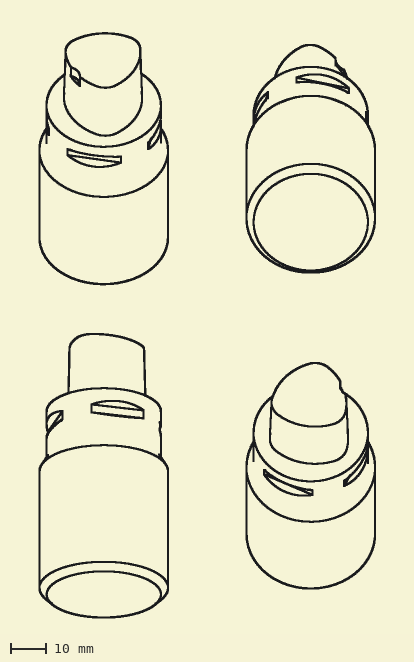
import cadquery as cq
import math

total_height = 75.0
body_radius = 18.0
collar_radius = 16.01
bottom_chamfer = 2.0
shoulder_bottom = 37.65
shoulder_top = 40.9
shoulder_blend = 0.4
collar_top = 55.95

corner_offset = 6.15
corner_radius = 5.6
side_radius = corner_radius + math.sqrt(3) * corner_offset
taper_per_side = 1 / 40

slot_count = 4
slot_first_angle = 45.0
slot_floor = 14.1
slot_floor_height = 2.4
slot_middle = 49.95
slot_wall_angle = 30.0

notch_radius = 3.75
notch_root = 8.8
notch_height = 3.5


def polar(radius, degrees, center=(0, 0)):
    angle = math.radians(degrees)
    return (center[0] + radius * math.cos(angle), center[1] + radius * math.sin(angle))


def make_body():
    """Turned body, conical shoulder and collar, revolved about Z."""
    profile = [
        (0, 0),
        (body_radius - bottom_chamfer, 0),
        (body_radius, bottom_chamfer),
        (body_radius, shoulder_bottom),
        (collar_radius, shoulder_top),
        (collar_radius, collar_top),
        (0, collar_top),
    ]
    body = cq.Workplane("XZ").polyline(profile).close().revolve(360, (0, 0), (0, 1))
    neck = cq.selectors.NearestToPointSelector((collar_radius, 0, shoulder_top))
    return body.edges("%CIRCLE").edges(neck).fillet(shoulder_blend)


def make_shank():
    """Rounded triangle with one corner toward +Y, tapering upward."""
    outline = cq.Workplane("XY", origin=(0, 0, collar_top))
    first_corner = polar(corner_offset, 90)
    outline = outline.moveTo(*polar(corner_radius, 60, first_corner))
    for corner_angle in (90, 210, 330):
        corner = polar(corner_offset, corner_angle)
        outline = outline.threePointArc(
            polar(corner_radius, corner_angle, corner),
            polar(corner_radius, corner_angle + 30, corner),
        )
        side_angle = corner_angle + 60
        opposite_corner = polar(corner_offset, side_angle + 180)
        outline = outline.threePointArc(
            polar(side_radius, side_angle, opposite_corner),
            polar(side_radius, side_angle + 30, opposite_corner),
        )
    taper_angle = math.degrees(math.atan(taper_per_side))
    return outline.close().extrude(total_height - collar_top, taper=taper_angle)


def make_slot():
    """Cutter for one straight slot on the +X side, open outward."""
    reach = body_radius - slot_floor
    half_floor = slot_floor_height / 2
    half_mouth = half_floor + reach * math.tan(math.radians(slot_wall_angle))
    section = [
        (slot_floor, slot_middle - half_floor),
        (body_radius, slot_middle - half_mouth),
        (body_radius, slot_middle + half_mouth),
        (slot_floor, slot_middle + half_floor),
    ]
    return cq.Workplane("XZ").polyline(section).close().extrude(body_radius, both=True)


def make_notch():
    """Vertical cylindrical cutter reaching into the -Y side of the shank."""
    center_y = -(notch_root + notch_radius)
    plane = cq.Workplane("XY", origin=(0, center_y, total_height - notch_height))
    return plane.circle(notch_radius).extrude(notch_height)


result = make_body().union(make_shank())
slot = make_slot()
for index in range(slot_count):
    slot_angle = slot_first_angle + index * 360 / slot_count
    result = result.cut(slot.rotate((0, 0, 0), (0, 0, 1), slot_angle))
result = result.cut(make_notch())